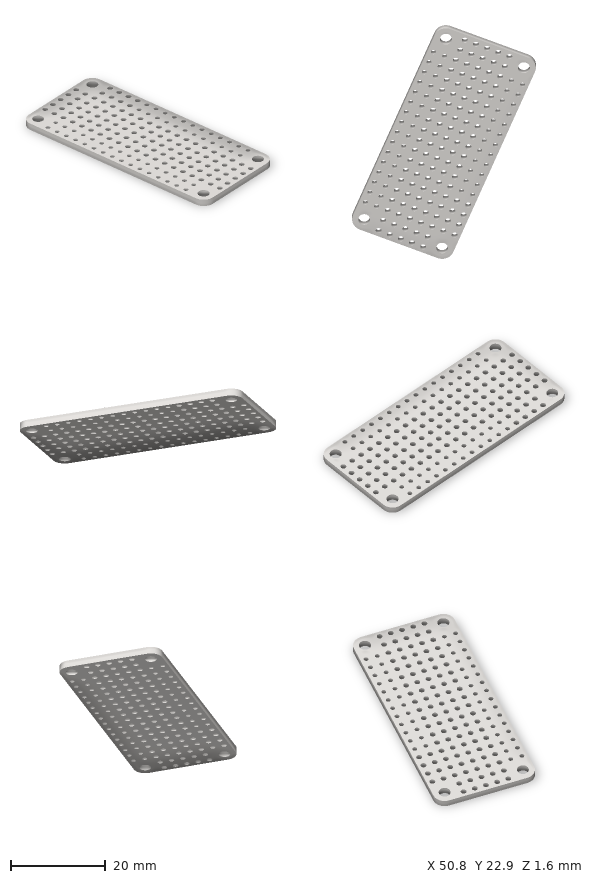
import cadquery as cq

length = 50.8
width = 22.85
thickness = 1.6
corner_radius = 2.55

left_mount_diameter = 2.5
right_mount_diameter = 2.55

pitch = 2.55
columns = 20
rows = 9
large_diameter = 1.2
small_diameter = 1.0
edge_rows = 2
skipped_columns = 2
large_in_edge_row = 4


def grid_point(column, row):
    """Centre of a grid hole; column 0 is at -X and row 0 is at -Y."""
    x = (column - (columns - 1) / 2) * pitch
    y = (row - (rows - 1) / 2) * pitch
    return (x, y)


def pin_hole_centres():
    """Centres of the large and of the small pin holes."""
    large = []
    small = []
    for row in range(rows):
        in_lower_edge = row < edge_rows
        in_upper_edge = row >= rows - edge_rows
        if not (in_lower_edge or in_upper_edge):
            large += [grid_point(column, row) for column in range(columns)]
            continue
        for column in range(skipped_columns, columns - skipped_columns):
            in_large_block = in_upper_edge and column < skipped_columns + large_in_edge_row
            centres = large if in_large_block else small
            centres.append(grid_point(column, row))
    return large, small


def drill(body, centres, diameter):
    """Drill through holes straight down from the top face."""
    return body.faces(">Z").workplane(origin=(0, 0, 0)).pushPoints(centres).hole(diameter)


plate = cq.Workplane("XY").box(length, width, thickness)
plate = plate.edges("|Z").fillet(corner_radius)

mount_x = length / 2 - corner_radius
mount_y = width / 2 - corner_radius
plate = drill(plate, [(-mount_x, -mount_y), (-mount_x, mount_y)], left_mount_diameter)
plate = drill(plate, [(mount_x, -mount_y), (mount_x, mount_y)], right_mount_diameter)

large_centres, small_centres = pin_hole_centres()
plate = drill(plate, large_centres, large_diameter)
plate = drill(plate, small_centres, small_diameter)

result = plate